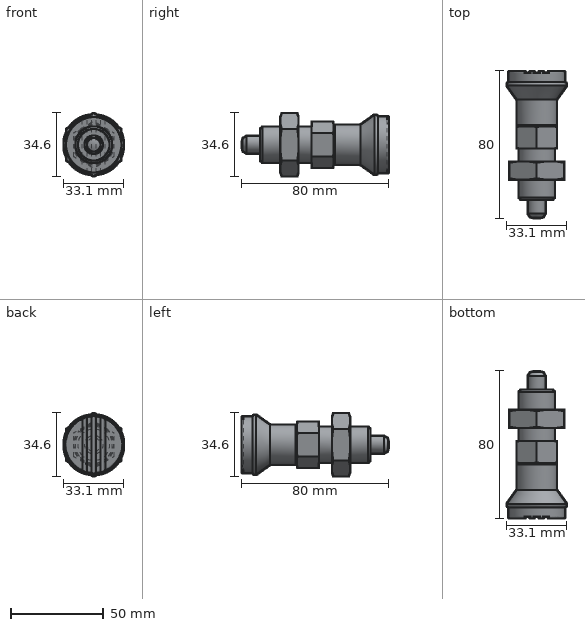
import cadquery as cq
import math

length = 80.0

cap_depth = 6.0
rim_depth = 8.0
flare_depth = 15.6
grip_depth = 29.2
body_hex_start = 30.0
body_hex_end = 42.0
nut_start = 49.0
nut_thickness = 10.0
body_depth = 70.0
pin_shoulder_depth = 77.2

cap_radius = 15.5
rim_radius = 16.5
grip_radius = 11.0
neck_radius = 10.6
body_radius = 10.0
pin_radius = body_radius / 2
nose_radius = 3.7

cap_fillet = 1.0
body_chamfer = 1.4
nose_cone_length = 2.1

body_hex_flats = 22.0
nut_flats = 30.0

body_hex_drop = 0.3
nut_drop = 0.8

groove_count = 3
groove_pitch = 5.0
groove_width = 2.6
groove_depth = 1.0


def station(depth):
    """Y position at a depth behind the flat end of the knob."""
    return length - depth


def across_corners(flats):
    return flats / math.cos(math.radians(30))


def hex_prism(flats, start_depth, end_depth):
    """Hexagon along Y with two corners on the Z axis."""
    return (
        cq.Workplane("XZ", origin=(0, station(start_depth), 0))
        .transformed(rotate=(0, 0, 90))
        .polygon(6, across_corners(flats))
        .extrude(end_depth - start_depth)
    )


def revolve_about_y(profile):
    return profile.close().revolve(360, (0, 0, 0), (0, 1, 0))


def make_knob():
    rim_bulge = (rim_radius - cap_radius) * math.sin(math.radians(45))
    rim_bulge_depth = rim_depth - (rim_depth - cap_depth) * math.cos(math.radians(45))
    fillet_mid = cap_fillet * (1 - math.cos(math.radians(45)))
    profile = (
        cq.Workplane("XY")
        .moveTo(0, station(0))
        .lineTo(cap_radius - cap_fillet, station(0))
        .threePointArc(
            (cap_radius - fillet_mid, station(fillet_mid)),
            (cap_radius, station(cap_fillet)),
        )
        .lineTo(cap_radius, station(cap_depth))
        .threePointArc(
            (cap_radius + rim_bulge, station(rim_bulge_depth)),
            (rim_radius, station(rim_depth)),
        )
        .lineTo(grip_radius, station(flare_depth))
        .lineTo(grip_radius, station(grip_depth))
        .lineTo(neck_radius, station(body_hex_start))
        .lineTo(0, station(body_hex_start))
    )
    return revolve_about_y(profile)


def make_grooves():
    """Round-bottomed cutters running along Z through the flat end."""
    half_width = groove_width / 2
    radius = (half_width**2 + groove_depth**2) / (2 * groove_depth)
    first_x = -groove_pitch * (groove_count - 1) / 2
    centers = [
        (first_x + i * groove_pitch, length - groove_depth + radius)
        for i in range(groove_count)
    ]
    return (
        cq.Workplane("XY")
        .pushPoints(centers)
        .circle(radius)
        .extrude(cap_radius, both=True)
    )


def make_body():
    profile = (
        cq.Workplane("XY")
        .moveTo(0, station(body_hex_start))
        .lineTo(body_radius, station(body_hex_start))
        .lineTo(body_radius, station(body_depth - body_chamfer))
        .lineTo(body_radius - body_chamfer, station(body_depth))
        .lineTo(0, station(body_depth))
    )
    return revolve_about_y(profile)


def make_pin():
    """Cylinder, short cone and a spherical nose."""
    nose_height = station(pin_shoulder_depth + nose_cone_length)
    sphere_radius = (nose_radius**2 + nose_height**2) / (2 * nose_height)
    arc_x = nose_radius / 2
    arc_y = sphere_radius - math.sqrt(sphere_radius**2 - arc_x**2)
    profile = (
        cq.Workplane("XY")
        .moveTo(0, station(body_depth))
        .lineTo(pin_radius, station(body_depth))
        .lineTo(pin_radius, station(pin_shoulder_depth))
        .lineTo(nose_radius, nose_height)
        .threePointArc((arc_x, arc_y), (0, 0))
    )
    return revolve_about_y(profile)


def conical_envelope(flats, start_depth, end_depth, start_drop, end_drop):
    """Turned blank whose conical edges trim the corners of a hexagon."""
    flat_radius = flats / 2
    corner_radius = across_corners(flats) / 2
    profile = (
        cq.Workplane("XY")
        .moveTo(0, station(start_depth))
        .lineTo(flat_radius, station(start_depth))
        .lineTo(corner_radius, station(start_depth + start_drop))
        .lineTo(corner_radius, station(end_depth - end_drop))
    )
    if end_drop > 0:
        profile = profile.lineTo(flat_radius, station(end_depth))
    return revolve_about_y(profile.lineTo(0, station(end_depth)))


def make_body_hex():
    """Wrench hexagon, turned only on the side facing the knob."""
    prism = hex_prism(body_hex_flats, body_hex_start, body_hex_end)
    return prism.intersect(
        conical_envelope(body_hex_flats, body_hex_start, body_hex_end, body_hex_drop, 0)
    )


def make_nut():
    """Hexagon nut, turned on both faces."""
    nut_end = nut_start + nut_thickness
    prism = hex_prism(nut_flats, nut_start, nut_end)
    return prism.intersect(
        conical_envelope(nut_flats, nut_start, nut_end, nut_drop, nut_drop)
    )


knob = make_knob().cut(make_grooves())
result = (
    knob.union(make_body_hex())
    .union(make_body())
    .union(make_pin())
    .union(make_nut())
)